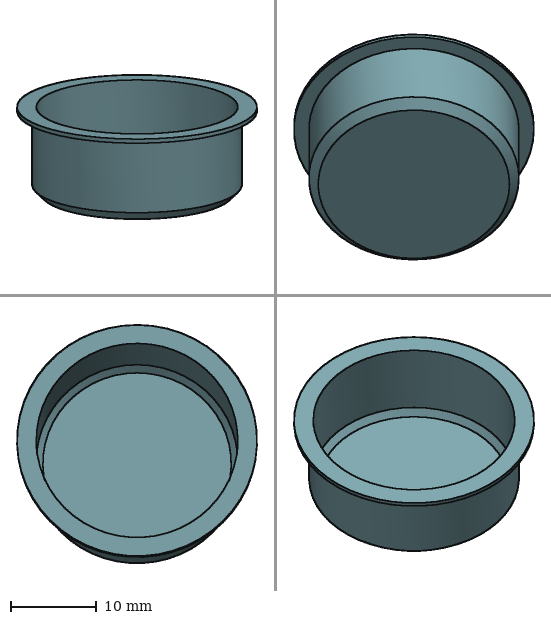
import cadquery as cq

flange_diameter = 28.0
body_diameter = 24.5
bore_diameter = 23.5
total_height = 10.5

flange_thickness = 0.5
wall = (body_diameter - bore_diameter) / 2
floor_thickness = wall
outer_bevel = 1.1
inner_bevel = 0.77


def flanged_body():
    """Solid cylinder standing on Z = 0, bevelled at the bottom, with a thin flange at the top."""
    body = cq.Workplane("XY").circle(body_diameter / 2).extrude(total_height)
    body = body.faces("<Z").chamfer(outer_bevel)
    flange = (
        cq.Workplane("XY")
        .workplane(offset=total_height - flange_thickness)
        .circle(flange_diameter / 2)
        .extrude(flange_thickness)
    )
    return body.union(flange)


def cavity():
    """Open-topped recess whose bottom edge is bevelled alongside the outer bevel."""
    recess = (
        cq.Workplane("XY")
        .workplane(offset=floor_thickness)
        .circle(bore_diameter / 2)
        .extrude(total_height - floor_thickness)
    )
    return recess.faces("<Z").chamfer(inner_bevel)


result = flanged_body().cut(cavity())